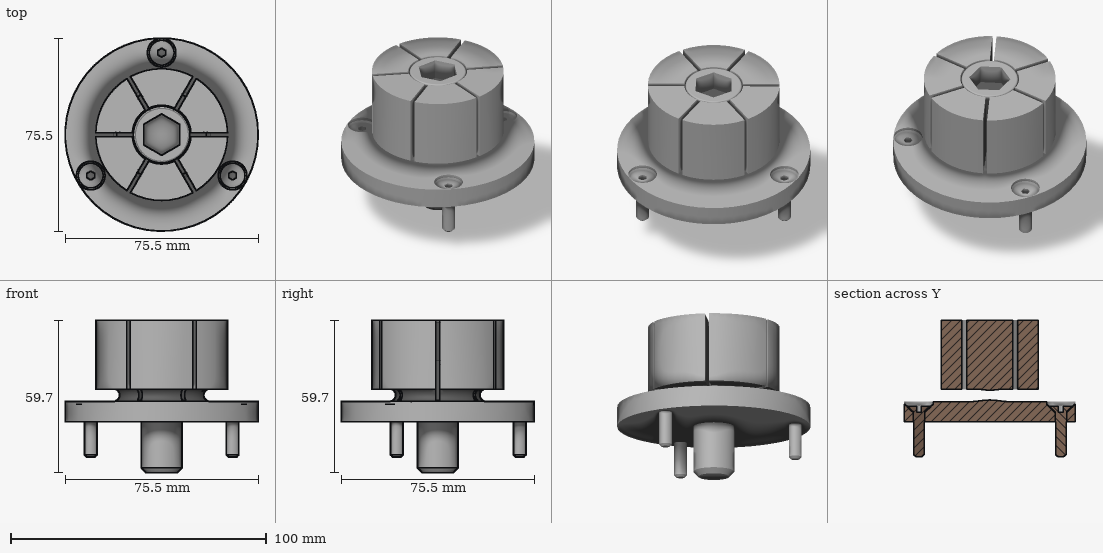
import cadquery as cq
import math


FLANGE_DIAMETER = 75.5
FLANGE_THICKNESS = 7.94
COLLET_DIAMETER = 51.5
NECK_GAP = 4.76
GROOVE_RADIUS = 2.5
GROOVE_CENTRE_RADIUS = 19.0
OVERALL_TOP = 39.69
SEGMENT_COUNT = 6
SLOT_WIDTH = 1.6
SLOT_FLOOR_RISE = 0.5

BOLT_DIAMETER = 16.0
BOLT_REACH = 20.0
BOLT_END_CHAMFER = 2.0
BOLT_HEAD_HEIGHT = 15.7
BOLT_HEAD_RADIUS = 11.2
BOLT_HEAD_FILLET = 0.7
BOLT_HEX_WIDTH = 14.0
BOLT_HEX_DEPTH = 8.0
SEAT_CLEARANCE = 0.3

SCREW_COUNT = 3
SCREW_CIRCLE_RADIUS = 32.0
SCREW_FIRST_ANGLE = 90.0
SCREW_DIAMETER = 5.0
SCREW_LENGTH = 20.0
SCREW_REACH = 13.75
SCREW_HEAD_DIAMETER = 9.7
SCREW_END_CHAMFER = 0.9
SCREW_HEX_WIDTH = 3.0
SCREW_HEX_DEPTH = 2.5
POCKET_DIAMETER = 11.2
POCKET_DEPTH = 1.15

flange_radius = FLANGE_DIAMETER / 2
collet_radius = COLLET_DIAMETER / 2
segment_bottom = FLANGE_THICKNESS + NECK_GAP
groove_height = FLANGE_THICKNESS + GROOVE_RADIUS
groove_top_radius = GROOVE_CENTRE_RADIUS - math.sqrt(
    GROOVE_RADIUS**2 - (segment_bottom - groove_height) ** 2
)
slot_floor = FLANGE_THICKNESS + SLOT_FLOOR_RISE
bolt_radius = BOLT_DIAMETER / 2
bolt_head_bottom = OVERALL_TOP - BOLT_HEAD_HEIGHT
taper_slope = (BOLT_HEAD_RADIUS - bolt_radius) / BOLT_HEAD_HEIGHT
seat_bottom = bolt_head_bottom - SEAT_CLEARANCE / taper_slope
screw_radius = SCREW_DIAMETER / 2
screw_head_radius = SCREW_HEAD_DIAMETER / 2
screw_top = SCREW_LENGTH - SCREW_REACH
screw_head_bottom = screw_top - (screw_head_radius - screw_radius)
pocket_radius = POCKET_DIAMETER / 2
pocket_floor = FLANGE_THICKNESS - POCKET_DEPTH


def revolve_z(profile):
    """Revolve a closed (radius, height) profile about the Z axis."""
    return profile.close().revolve(360, (0, 0, 0), (0, 1, 0))


def hex_socket(width, top, depth):
    """Hexagonal prism with corners on Y, running down from the given height."""
    corner_diameter = width / math.cos(math.radians(30))
    return (
        cq.Workplane("XY", origin=(0, 0, top))
        .polygon(6, corner_diameter)
        .extrude(-depth)
        .rotate((0, 0, 0), (0, 0, 1), 30)
    )


def at_screw_positions(body):
    """Copies of a body on the Z axis, moved to each screw position."""
    copies = []
    for i in range(SCREW_COUNT):
        angle = math.radians(SCREW_FIRST_ANGLE + i * 360 / SCREW_COUNT)
        offset = (SCREW_CIRCLE_RADIUS * math.cos(angle), SCREW_CIRCLE_RADIUS * math.sin(angle), 0)
        copies.append(body.translate(offset))
    return copies


def make_housing():
    body = revolve_z(
        cq.Workplane("XZ")
        .moveTo(0, 0)
        .lineTo(flange_radius, 0)
        .lineTo(flange_radius, FLANGE_THICKNESS)
        .lineTo(GROOVE_CENTRE_RADIUS, FLANGE_THICKNESS)
        .threePointArc(
            (GROOVE_CENTRE_RADIUS - GROOVE_RADIUS, groove_height),
            (groove_top_radius, segment_bottom),
        )
        .lineTo(collet_radius, segment_bottom)
        .lineTo(collet_radius, OVERALL_TOP)
        .lineTo(0, OVERALL_TOP)
    )
    bore = revolve_z(
        cq.Workplane("XZ")
        .moveTo(0, 0)
        .lineTo(bolt_radius, 0)
        .lineTo(bolt_radius, seat_bottom)
        .lineTo(BOLT_HEAD_RADIUS + SEAT_CLEARANCE, OVERALL_TOP)
        .lineTo(0, OVERALL_TOP)
    )
    body = body.cut(bore)

    slot = cq.Workplane("XY", origin=(0, 0, slot_floor)).rect(FLANGE_DIAMETER, SLOT_WIDTH)
    slot = slot.extrude(OVERALL_TOP - slot_floor)
    for i in range(SEGMENT_COUNT // 2):
        body = body.cut(slot.rotate((0, 0, 0), (0, 0, 1), i * 360 / SEGMENT_COUNT))

    screw_hole = revolve_z(
        cq.Workplane("XZ")
        .moveTo(0, 0)
        .lineTo(screw_radius, 0)
        .lineTo(screw_radius, screw_head_bottom)
        .lineTo(screw_head_radius, screw_top)
        .lineTo(pocket_radius, pocket_floor)
        .lineTo(pocket_radius, FLANGE_THICKNESS)
        .lineTo(0, FLANGE_THICKNESS)
    )
    for hole in at_screw_positions(screw_hole):
        body = body.cut(hole)
    return body


def make_bolt():
    body = revolve_z(
        cq.Workplane("XZ")
        .moveTo(0, -BOLT_REACH)
        .lineTo(bolt_radius - BOLT_END_CHAMFER, -BOLT_REACH)
        .lineTo(bolt_radius, BOLT_END_CHAMFER - BOLT_REACH)
        .lineTo(bolt_radius, bolt_head_bottom)
        .lineTo(BOLT_HEAD_RADIUS, OVERALL_TOP)
        .lineTo(0, OVERALL_TOP)
    )
    body = body.faces(">Z").edges().fillet(BOLT_HEAD_FILLET)
    return body.cut(hex_socket(BOLT_HEX_WIDTH, OVERALL_TOP, BOLT_HEX_DEPTH))


def make_screw():
    body = revolve_z(
        cq.Workplane("XZ")
        .moveTo(0, -SCREW_REACH)
        .lineTo(screw_radius - SCREW_END_CHAMFER, -SCREW_REACH)
        .lineTo(screw_radius, SCREW_END_CHAMFER - SCREW_REACH)
        .lineTo(screw_radius, screw_head_bottom)
        .lineTo(screw_head_radius, screw_top)
        .lineTo(0, screw_top)
    )
    return body.cut(hex_socket(SCREW_HEX_WIDTH, screw_top, SCREW_HEX_DEPTH))


housing = make_housing()
bolt = make_bolt()
screws = at_screw_positions(make_screw())

result = cq.Compound.makeCompound([housing.val(), bolt.val(), *[screw.val() for screw in screws]])